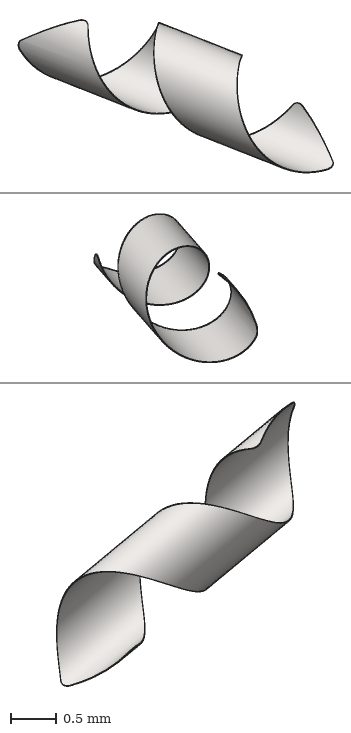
import math

import cadquery as cq

OUTER_RADIUS = 0.497
THICKNESS = 0.01
STRIP_LENGTH = 5.69
STRIP_WIDTH = 1.0
CORNER_RADIUS = 0.1
HELIX_ANGLE = 35.0
MIDDLE_ANGLE = 57.5

UNIT_RADIUS = 1.0
AXIS_CYCLE_ANGLE = 120.0
ORIGIN = cq.Vector(0, 0, 0)
Z_AXIS = cq.Vector(0, 0, 1)
DIAGONAL = cq.Vector(1, 1, 1)


def flat_strip():
    """Rounded rectangle in multiples of the radius: X is the angle in radians, Y runs along the axis."""
    length = STRIP_LENGTH / OUTER_RADIUS
    width = STRIP_WIDTH / OUTER_RADIUS
    corner = CORNER_RADIUS / OUTER_RADIUS
    sheet = cq.Sketch().rect(length, width).vertices().fillet(corner).reset().faces().val()
    leaning = sheet.rotate(ORIGIN, Z_AXIS, HELIX_ANGLE)
    return leaning.translate(cq.Vector(math.radians(MIDDLE_ANGLE), 0, 0))


def coil_around_z():
    """Strip wrapped on a unit cylinder around Z, thickened inward and brought to true size."""
    cylinder = cq.Solid.makeCylinder(UNIT_RADIUS, UNIT_RADIUS).faces("%CYLINDER")
    outer_skin = cq.occ_impl.shapes.faceOn(cylinder, flat_strip())
    band = cq.occ_impl.shapes.offset(outer_skin, -THICKNESS / OUTER_RADIUS)
    return band.scale(OUTER_RADIUS)


result = cq.Workplane(coil_around_z().rotate(ORIGIN, DIAGONAL, AXIS_CYCLE_ANGLE))